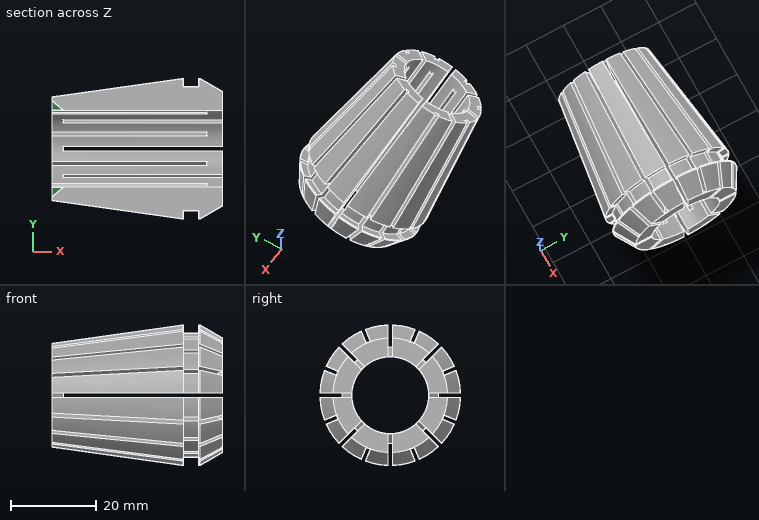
import cadquery as cq
import math

length = 40.0
bore_radius = 9.0
max_radius = 16.5

taper_length = 30.8
taper_angle = 8.0
groove_width = 3.6
groove_radius = 14.55
rim_width = 0.3
nose_angle = 30.0

slots_per_set = 8
slot_pitch = 360.0 / slots_per_set
slot_width = 1.0
saw_radius = 40.0
front_web_length = 2.75
front_web_radius = 11.35
nose_web_length = 3.75
nose_web_radius = 13.65

overcut = 2.0

taper_small_radius = max_radius - taper_length * math.tan(math.radians(taper_angle))
rim_start = taper_length + groove_width
nose_start = rim_start + rim_width
nose_slope = math.tan(math.radians(nose_angle))
nose_small_radius = max_radius - (length - nose_start) * nose_slope


def collet_body():
    """Tapered sleeve with the clamping groove, revolved about X."""
    half_section = (
        cq.Workplane("XY")
        .moveTo(0, bore_radius)
        .lineTo(0, taper_small_radius)
        .lineTo(taper_length, max_radius)
        .lineTo(taper_length, groove_radius)
        .lineTo(rim_start, groove_radius)
        .lineTo(rim_start, max_radius)
        .lineTo(nose_start, max_radius)
        .lineTo(length, nose_small_radius)
        .lineTo(length, bore_radius)
        .close()
    )
    return half_section.revolve(360, (0, 0, 0), (1, 0, 0))


def saw_slot(web_length, end_face_radius):
    """Saw path open at X = 0 and stopped by an arc short of X = length.

    The arc crosses the bore at web_length from the far end,
    and the plane of the far end face at end_face_radius.
    """
    half_rise = (end_face_radius - bore_radius) / 2
    half_run = web_length / 2
    half_chord = math.hypot(half_run, half_rise)
    center_offset = math.sqrt(saw_radius ** 2 - half_chord ** 2)
    center_x = length - half_run - center_offset * half_rise / half_chord
    center_radius = bore_radius + half_rise + center_offset * half_run / half_chord

    arc_step = saw_radius * math.sqrt(0.5)
    profile = (
        cq.Workplane("XY")
        .moveTo(-overcut, center_radius - saw_radius)
        .lineTo(center_x, center_radius - saw_radius)
        .threePointArc(
            (center_x + arc_step, center_radius - arc_step),
            (center_x + saw_radius, center_radius),
        )
        .lineTo(-overcut, center_radius)
        .close()
    )
    return profile.extrude(slot_width / 2, both=True)


def nose_open_slot():
    """Slot open at the nose; its saw arc runs out through the small end face."""
    mid_plane_point = (length / 2, 0, 0)
    return saw_slot(front_web_length, front_web_radius).mirror("YZ", mid_plane_point)


def small_end_open_slot():
    """Slot open at the small end; its saw arc runs out on the nose cone."""
    return saw_slot(nose_web_length, nose_web_radius)


def cut_slot_set(body, cutter, start_angle):
    """Cut one set of evenly spaced slots around the X axis."""
    for index in range(slots_per_set):
        angle = start_angle + index * slot_pitch
        body = body.cut(cutter.rotate((0, 0, 0), (1, 0, 0), angle))
    return body


collet = collet_body()
collet = cut_slot_set(collet, nose_open_slot(), 0)
collet = cut_slot_set(collet, small_end_open_slot(), slot_pitch / 2)

result = collet